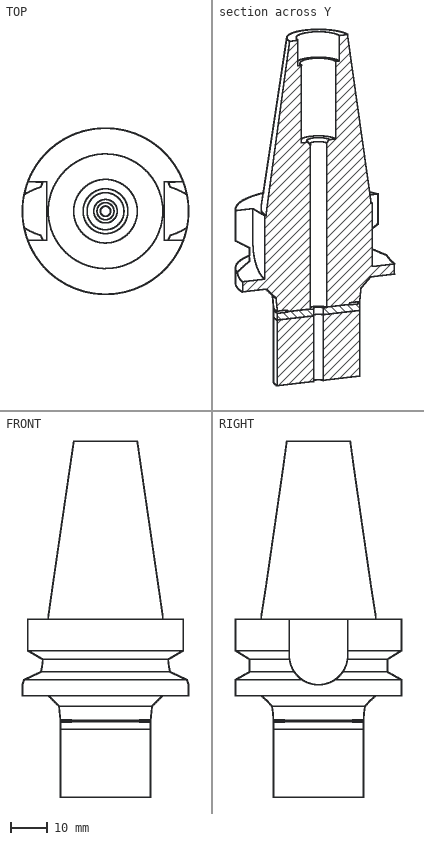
import cadquery as cq

total_height = 98.4
taper_base_z = 50.1
flange_top_z = 49.2
upper_rim_bottom_z = 40.5
groove_top_z = 38.1
groove_bottom_z = 34.6
lower_rim_top_z = 32.5
flange_bottom_z = 28.0
neck_top_z = 25.2
neck_bottom_z = 21.4
ring_top_z = 20.9
sleeve_top_z = 18.8

taper_base_radius = 15.8
taper_per_length = 7 / 24
taper_tip_radius = taper_base_radius - taper_per_length * (total_height - taper_base_z) / 2
flange_radius = 46.0 / 2
groove_radius = 19.1
nose_radius = 12.5
neck_top_radius = 12.9
flange_cone_radius = neck_top_radius + (flange_bottom_z - neck_top_z)
spigot_radius = 9.4

mouth_radius = 6.2
mouth_depth = 7.3
thread_radius = 5.1
thread_depth = 29.5
coolant_radius = 2.4
countersink_radius = 3.2
nozzle_radius = 1.4

slot_width = 16.1
slot_floor_x = 16.2
slot_bottom_z = 31.1


def make_bore():
    """Solid filling the holder's bore, from the taper tip down to the ring."""
    mouth_floor_z = total_height - mouth_depth
    thread_floor_z = total_height - thread_depth
    countersink_bottom_z = thread_floor_z - (countersink_radius - coolant_radius)
    profile = [
        (0, total_height),
        (mouth_radius, total_height),
        (mouth_radius, mouth_floor_z),
        (thread_radius, mouth_floor_z),
        (thread_radius, thread_floor_z),
        (countersink_radius, thread_floor_z),
        (coolant_radius, countersink_bottom_z),
        (coolant_radius, ring_top_z),
        (0, ring_top_z),
    ]
    return cq.Workplane("XZ").polyline(profile).close().revolve(360, (0, 0), (0, 1))


def make_drive_slot(side):
    """Round-bottomed slot cutter, outward from the slot floor; side is -1 or +1 along X."""
    slot_radius = slot_width / 2
    arc_center_z = slot_bottom_z + slot_radius
    return (
        cq.Workplane("YZ", origin=(side * slot_floor_x, 0, 0))
        .moveTo(-slot_radius, flange_top_z)
        .lineTo(-slot_radius, arc_center_z)
        .threePointArc((0, slot_bottom_z), (slot_radius, arc_center_z))
        .lineTo(slot_radius, flange_top_z)
        .close()
        .extrude(side * flange_radius)
    )


def make_holder():
    """Tapered shank, grooved flange, neck and spigot, turned as one piece."""
    profile = [
        (0, total_height),
        (taper_tip_radius, total_height),
        (taper_base_radius, taper_base_z),
        (taper_base_radius, flange_top_z),
        (flange_radius, flange_top_z),
        (flange_radius, upper_rim_bottom_z),
        (groove_radius, groove_top_z),
        (groove_radius, groove_bottom_z),
        (flange_radius, lower_rim_top_z),
        (flange_radius, flange_bottom_z),
        (flange_cone_radius, flange_bottom_z),
        (neck_top_radius, neck_top_z),
        (nose_radius, neck_bottom_z),
        (spigot_radius, neck_bottom_z),
        (spigot_radius, ring_top_z),
        (0, ring_top_z),
    ]
    body = cq.Workplane("XZ").polyline(profile).close().revolve(360, (0, 0), (0, 1))
    body = body.cut(make_bore())
    for side in (-1, 1):
        body = body.cut(make_drive_slot(side))
    return body


def make_tube(bottom_z, top_z):
    """Round piece of the nose with the nozzle hole through it."""
    return (
        cq.Workplane("XY", origin=(0, 0, bottom_z))
        .circle(nose_radius)
        .circle(nozzle_radius)
        .extrude(top_z - bottom_z)
    )


holder = make_holder()
ring = make_tube(sleeve_top_z, ring_top_z)
sleeve = make_tube(0, sleeve_top_z)

result = cq.Compound.makeCompound([holder.val(), ring.val(), sleeve.val()])